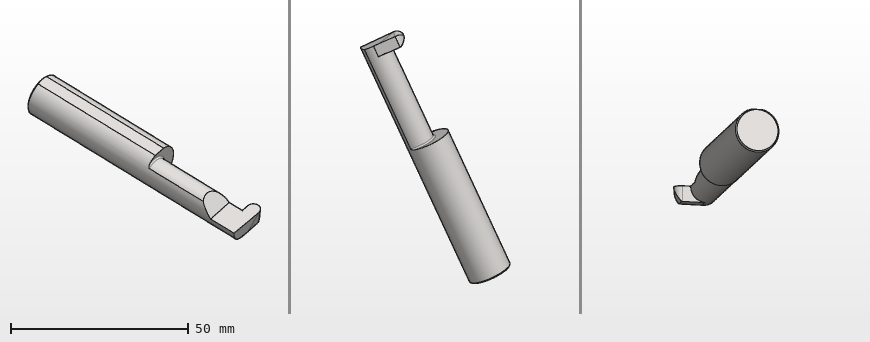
import cadquery as cq
import math

total_length = 76.2
shank_diameter = 12.65
shank_radius = shank_diameter / 2
shank_length = 43.3
flat_depth = 0.275
end_chamfer = 0.4

neck_radius = 4.5
neck_side = 1.9
neck_axis_y = neck_side - neck_radius
shoulder_fillet = 0.45

ramp_end = 67.3
ramp_angle = 45.0
hook_width = 4.1
nose_radius = hook_width / 2
nose_center_y = shank_radius - nose_radius
hook_taper = 4.0
end_lean = 2.0
end_clearance = 2.0


def make_shank():
    """Round shank with a chamfered rear rim and a flat along the top."""
    shank = cq.Workplane("YZ").circle(shank_radius).extrude(shank_length)
    shank = shank.faces("<X").chamfer(end_chamfer)
    flat_cut = cq.Workplane("XY").box(
        shank_length, shank_diameter, flat_depth, centered=(False, True, False)
    ).translate((0, 0, shank_radius - flat_depth))
    return shank.cut(flat_cut)


def make_neck():
    """Neck turned about its own offset axis, flaring into the shoulder."""
    flare_radius = neck_radius + shoulder_fillet
    arc_offset = shoulder_fillet * (1 - math.sqrt(0.5))
    return (
        cq.Workplane("XY", origin=(0, neck_axis_y, 0))
        .moveTo(shank_length, 0)
        .lineTo(shank_length, flare_radius)
        .threePointArc(
            (shank_length + arc_offset, neck_radius + arc_offset),
            (shank_length + shoulder_fillet, neck_radius),
        )
        .lineTo(total_length, neck_radius)
        .lineTo(total_length, 0)
        .close()
        .revolve(360, (0, 0, 0), (1, 0, 0))
    )


def make_hook():
    """Round-nosed hook reaching sideways, below the rake face."""
    hook_back = total_length - hook_width
    return (
        cq.Workplane("XY")
        .moveTo(hook_back, neck_axis_y)
        .lineTo(hook_back, nose_center_y)
        .threePointArc(
            (total_length - nose_radius, shank_radius), (total_length, nose_center_y)
        )
        .lineTo(total_length, neck_axis_y)
        .close()
        .extrude(-neck_radius, taper=hook_taper)
    )


def make_ramp_cut():
    """Material above the rake face and its sloping run-out."""
    ramp_length = shank_radius / math.tan(math.radians(ramp_angle))
    return (
        cq.Workplane("XZ")
        .moveTo(ramp_end, 0)
        .lineTo(total_length, 0)
        .lineTo(total_length, shank_radius)
        .lineTo(ramp_end - ramp_length, shank_radius)
        .close()
        .extrude(shank_radius, both=True)
    )


def make_end_cut():
    """Block whose rear face, pivoting on the nose, sets the leaning end face."""
    pivot = (total_length, nose_center_y, 0)
    block_size = 2 * shank_diameter
    return (
        cq.Workplane("XY")
        .box(block_size, block_size, block_size, centered=(False, True, True))
        .rotate((0, 0, 0), (0, 1, 0), end_clearance)
        .rotate((0, 0, 0), (0, 0, 1), -end_lean)
        .translate(pivot)
    )


envelope = cq.Workplane("YZ").circle(shank_radius).extrude(total_length)
front_end = make_neck().cut(make_ramp_cut()).union(make_hook())
front_end = front_end.cut(make_end_cut()).intersect(envelope)
result = make_shank().union(front_end)